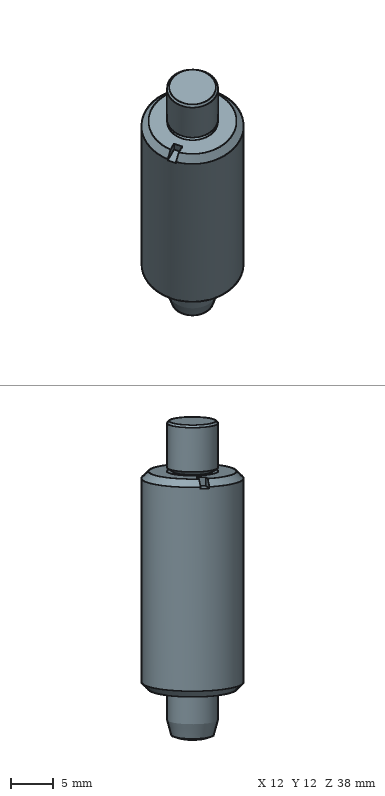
import cadquery as cq

total_length = 38.0
pin_projection = 6.0
body_bottom = pin_projection
body_top = total_length - pin_projection

body_radius = 6.0
body_chamfer = 0.85
slot_width = 1.05
slot_depth = 1.03
slot_inner_radius = 4.15

pin_radius = 3.0
button_chamfer = 0.25
neck_height = 0.45
neck_depth = 0.65
nose_radius = 2.5
nose_taper_height = 1.82
nose_dome_height = 0.55


def make_body():
    """Chamfered sleeve with a bore for the pin and two driver slots in its top face."""
    body = (
        cq.Workplane("XY")
        .workplane(offset=body_bottom)
        .circle(body_radius)
        .extrude(body_top - body_bottom)
        .faces("<Z or >Z")
        .chamfer(body_chamfer)
    )
    bore = cq.Workplane("XY").circle(pin_radius).extrude(total_length)
    body = body.cut(bore)

    slot_floor = cq.Workplane("XY").workplane(offset=body_top - slot_depth)
    slot_bar = slot_floor.rect(slot_width, 2 * body_radius + slot_width).extrude(slot_depth)
    slot_core = slot_floor.circle(slot_inner_radius).extrude(slot_depth)
    return body.cut(slot_bar.cut(slot_core))


def make_pin():
    """Turned pin: domed tapered nose, straight shank, and a button undercut at the body top."""
    taper_bottom = nose_dome_height
    taper_top = nose_dome_height + nose_taper_height

    dome_radius = (nose_radius**2 + nose_dome_height**2) / (2 * nose_dome_height)
    mid_radius = nose_radius / 2
    mid_height = dome_radius - (dome_radius**2 - mid_radius**2) ** 0.5

    return (
        cq.Workplane("XZ")
        .moveTo(0, 0)
        .threePointArc((mid_radius, mid_height), (nose_radius, taper_bottom))
        .lineTo(pin_radius, taper_top)
        .lineTo(pin_radius, body_top)
        .lineTo(pin_radius - neck_depth, body_top)
        .lineTo(pin_radius, body_top + neck_height)
        .lineTo(pin_radius, total_length - button_chamfer)
        .lineTo(pin_radius - button_chamfer, total_length)
        .lineTo(0, total_length)
        .close()
        .revolve(360, (0, 0, 0), (0, 1, 0))
    )


body = make_body()
pin = make_pin()

result = cq.Compound.makeCompound([body.val(), pin.val()])